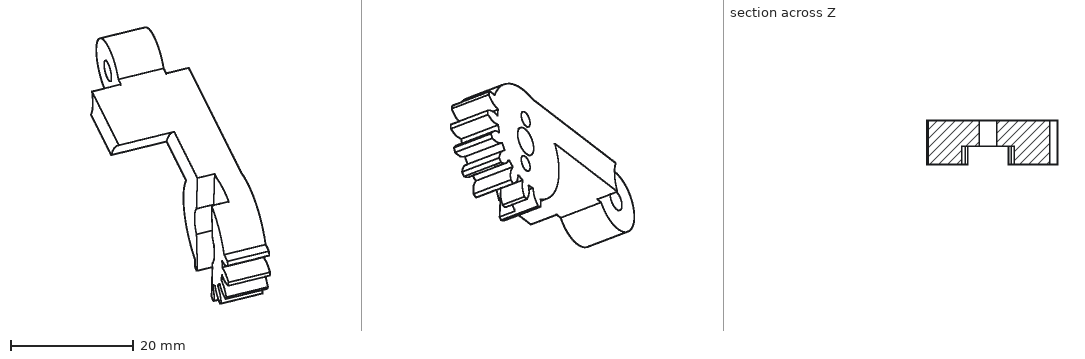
import cadquery as cq
import math


MODULE = 1.2
TEETH_PER_TURN = 17
TEETH_PRESENT = 7
PRESSURE_ANGLE = math.radians(20)
FIRST_TOOTH_NUMBER = -1
DEDENDUM_FACTOR = 1.5
PITCH_RADIUS = MODULE * TEETH_PER_TURN / 2
TIP_RADIUS = PITCH_RADIUS + MODULE
ROOT_RADIUS = PITCH_RADIUS - DEDENDUM_FACTOR * MODULE
BASE_RADIUS = PITCH_RADIUS * math.cos(PRESSURE_ANGLE)
TOOTH_PITCH = 2 * math.pi / TEETH_PER_TURN
DOWNWARD = -math.pi / 2
DISC_RADIUS = 10.0
GEAR_THICKNESS = 7.25

AXLE_DIAMETER = 4.8
SCREW_DIAMETER = 2.65
SCREW_OFFSET = 4.45
SEAT_DEPTH = 3.0
SEAT_HUB_RADIUS = 4.7
SEAT_HALF_WIDTH_CENTER = 3.95
SEAT_HALF_WIDTH_END = 3.2
SEAT_HALF_LENGTH = 12.0

EYE_X = -33.22
EYE_Z = 9.8
EYE_RADIUS = 5.5
EYE_BORE_DIAMETER = 3.5
EYE_BACK_GAP = 3.95
EYE_WIDTH = 7.9
EYE_CLEARANCE_RADIUS = 6.55
ARM_SLOPE = 5.1
ARM_HEIGHT = 5.5
ARM_WIDTH = 16.89

RELIEF_X = -5.74
RELIEF_Z = 1.03
RELIEF_RADIUS = 13.05

OVERLAP = 1.0


def plane_at(depth):
    """XZ plane whose extrusions grow toward -Y, starting at the given depth."""
    return cq.Workplane("XZ", origin=(0, -depth, 0))


def cylinder(x, z, radius, depth, length):
    return plane_at(depth).center(x, z).circle(radius).extrude(length)


def polar(radius, angle):
    return (radius * math.cos(angle), radius * math.sin(angle))


def involute_angle(radius):
    """Angle swept by the involute between the base circle and the radius."""
    pressure = math.acos(BASE_RADIUS / radius)
    return math.tan(pressure) - pressure


def make_tooth(direction):
    """One involute tooth with radial flanks below the base circle."""
    base_half_angle = TOOTH_PITCH / 4 + involute_angle(PITCH_RADIUS)
    flank_steps = 4
    step = (TIP_RADIUS - BASE_RADIUS) / flank_steps
    radii = [BASE_RADIUS + i * step for i in range(flank_steps + 1)]
    half_angles = [base_half_angle - involute_angle(r) for r in radii]
    right = [polar(r, direction - a) for r, a in zip(radii, half_angles)]
    left = [polar(r, direction + a) for r, a in zip(radii, half_angles)]
    left.reverse()
    return (
        plane_at(0)
        .moveTo(0, 0)
        .lineTo(*right[0])
        .spline(right[1:], includeCurrent=True)
        .threePointArc(polar(TIP_RADIUS, direction), left[0])
        .spline(left[1:], includeCurrent=True)
        .close()
        .extrude(GEAR_THICKNESS)
    )


def make_gear():
    first = DOWNWARD + FIRST_TOOTH_NUMBER * TOOTH_PITCH
    last = first + (TEETH_PRESENT - 1) * TOOTH_PITCH
    middle = (first + last) / 2
    plain_sector = (
        plane_at(0)
        .moveTo(0, 0)
        .lineTo(*polar(DISC_RADIUS, last))
        .threePointArc(polar(DISC_RADIUS, middle + math.pi), polar(DISC_RADIUS, first))
        .close()
        .extrude(GEAR_THICKNESS)
    )
    gear = cylinder(0, 0, ROOT_RADIUS, 0, GEAR_THICKNESS).union(plain_sector)
    for number in range(TEETH_PRESENT):
        gear = gear.union(make_tooth(first + number * TOOTH_PITCH))
    return gear


def make_arm_bar(depth, width):
    """Sloping bar from the eye axis to the point nearest the gear axis."""
    slope = math.radians(ARM_SLOPE)
    length = -EYE_X * math.cos(slope) + EYE_Z * math.sin(slope)
    return (
        plane_at(depth)
        .rect(length, ARM_HEIGHT)
        .extrude(width)
        .translate((length / 2, 0, 0))
        .rotate((0, 0, 0), (0, 1, 0), ARM_SLOPE)
        .translate((EYE_X, 0, EYE_Z))
    )


def make_arm():
    front_length = ARM_WIDTH - GEAR_THICKNESS + OVERLAP
    relief = cylinder(RELIEF_X, RELIEF_Z, RELIEF_RADIUS, GEAR_THICKNESS, front_length)
    clearance = cylinder(
        EYE_X, EYE_Z, EYE_CLEARANCE_RADIUS, -OVERLAP, ARM_WIDTH + 2 * OVERLAP
    )
    wide_bar = make_arm_bar(0, ARM_WIDTH).cut(clearance)
    eye_bar = make_arm_bar(EYE_BACK_GAP, EYE_WIDTH)
    eye = cylinder(EYE_X, EYE_Z, EYE_RADIUS, EYE_BACK_GAP, EYE_WIDTH)
    return wide_bar.union(eye_bar).cut(relief).union(eye)


def make_horn_seat():
    """Double-tapered groove with a round hub, open at both ends."""
    start = GEAR_THICKNESS - SEAT_DEPTH
    groove = (
        plane_at(start)
        .polyline([
            (-SEAT_HALF_WIDTH_END, SEAT_HALF_LENGTH),
            (SEAT_HALF_WIDTH_END, SEAT_HALF_LENGTH),
            (SEAT_HALF_WIDTH_CENTER, 0),
            (SEAT_HALF_WIDTH_END, -SEAT_HALF_LENGTH),
            (-SEAT_HALF_WIDTH_END, -SEAT_HALF_LENGTH),
            (-SEAT_HALF_WIDTH_CENTER, 0),
        ])
        .close()
        .extrude(SEAT_DEPTH + OVERLAP)
    )
    hub = cylinder(0, 0, SEAT_HUB_RADIUS, start, SEAT_DEPTH + OVERLAP)
    return groove.union(hub)


def through_hole(x, z, diameter):
    return cylinder(x, z, diameter / 2, -OVERLAP, ARM_WIDTH + 2 * OVERLAP)


result = make_gear().union(make_arm()).cut(make_horn_seat())
result = result.cut(through_hole(0, 0, AXLE_DIAMETER))
for screw_z in (SCREW_OFFSET, -SCREW_OFFSET):
    result = result.cut(through_hole(0, screw_z, SCREW_DIAMETER))
result = result.cut(through_hole(EYE_X, EYE_Z, EYE_BORE_DIAMETER))